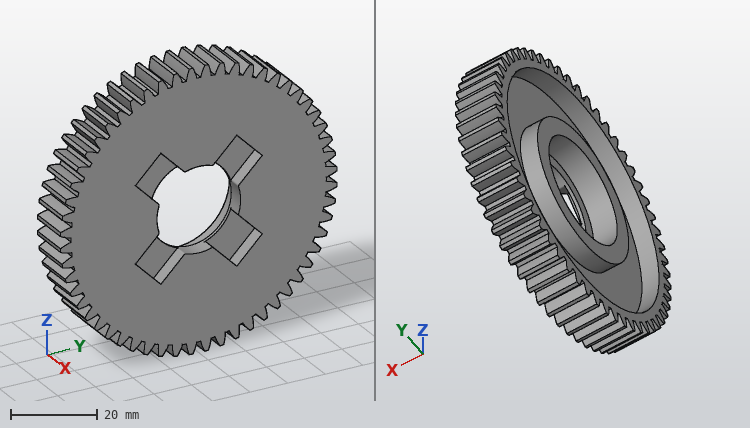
import cadquery as cq
import math


face_width = 11.1
tooth_count = 56
outer_radius = 36.83
module = 2 * outer_radius / (tooth_count + 2)
pitch_radius = module * tooth_count / 2
dedendum = 1.25 * module
root_radius = pitch_radius - dedendum
pressure_angle = math.radians(20)
base_radius = pitch_radius * math.cos(pressure_angle)
flank_steps = 5

recess_radius = 31.7
recess_depth = 4.8
hub_radius = 19.05
counterbore_radius = 14.3
counterbore_depth = 6.6
bore_radius = 11.1

slot_width = 9.6
slot_depth = 3.6
slot_end_radius = hub_radius
slot_mouth_fillet = 0.6
slot_turn = 45


def involute(angle):
    """Involute function: polar angle unrolled at a given pressure angle."""
    return math.tan(angle) - angle


def tooth_half_angle(radius):
    """Half of the angle that one tooth spans at a radius."""
    local_angle = math.acos(min(1.0, base_radius / radius))
    return math.pi / (2 * tooth_count) + involute(pressure_angle) - involute(local_angle)


def gap_edge_point(radius, flank_radius):
    """Point at a radius, in line with the gap flank at flank_radius."""
    angle = math.pi / tooth_count - tooth_half_angle(flank_radius)
    return (radius * math.cos(angle), radius * math.sin(angle))


def disc(radius, start, length):
    """Cylinder about the X axis, from X = start."""
    return cq.Workplane("YZ", origin=(start, 0, 0)).circle(radius).extrude(length)


def tooth_gap():
    """Cutter for the space between two teeth, centred on the Y axis."""
    step = (outer_radius - root_radius) / flank_steps
    radii = [root_radius + i * step for i in range(flank_steps + 1)]
    left_flank = [gap_edge_point(radius, radius) for radius in radii]
    right_flank = [(y, -z) for y, z in reversed(left_flank)]
    clear_y, clear_z = gap_edge_point(outer_radius + module, outer_radius)
    return (
        cq.Workplane("YZ")
        .moveTo(*left_flank[0])
        .spline(left_flank[1:], includeCurrent=True)
        .lineTo(clear_y, clear_z)
        .lineTo(clear_y, -clear_z)
        .lineTo(*right_flank[0])
        .spline(right_flank[1:], includeCurrent=True)
        .threePointArc((root_radius, 0), left_flank[0])
        .close()
        .extrude(face_width)
    )


def toothed_blank():
    """Disc with all tooth gaps cut."""
    gap = tooth_gap()
    pitch = 360 / tooth_count
    gaps = [gap.rotate((0, 0, 0), (1, 0, 0), i * pitch).val() for i in range(tooth_count)]
    return cq.Workplane(disc(outer_radius, 0, face_width).val().cut(*gaps))


def clutch_slots():
    """Cutter for two crossed slots with rounded corners where they meet the bore."""
    start = face_width - slot_depth
    plane = cq.Workplane("YZ", origin=(start, 0, 0))
    slots = disc(bore_radius, start, slot_depth)
    slots = slots.union(plane.rect(2 * slot_end_radius, slot_width).extrude(slot_depth))
    slots = slots.union(plane.rect(slot_width, 2 * slot_end_radius).extrude(slot_depth))
    near_bore = cq.selectors.BoxSelector(
        (0, -bore_radius, -bore_radius),
        (face_width, bore_radius, bore_radius),
    )
    slots = slots.edges("|X").edges(near_bore).fillet(slot_mouth_fillet)
    return slots.rotate((0, 0, 0), (1, 0, 0), slot_turn)


ring_recess = disc(recess_radius, 0, recess_depth).cut(disc(hub_radius, 0, recess_depth))

result = (
    toothed_blank()
    .cut(ring_recess)
    .cut(disc(counterbore_radius, 0, counterbore_depth))
    .cut(disc(bore_radius, 0, face_width))
    .cut(clutch_slots())
)